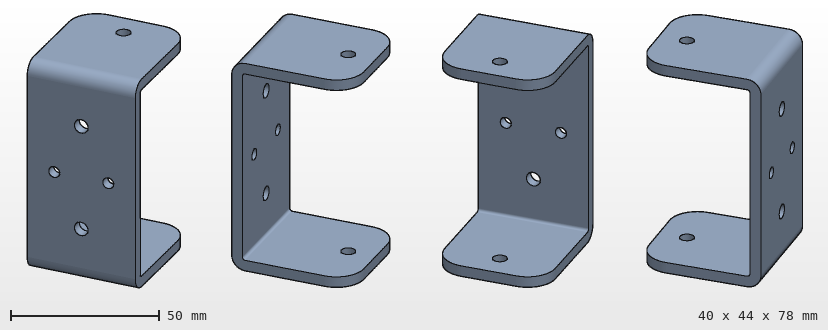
import cadquery as cq

width = 40.0
depth = 44.0
height = 78.0
thickness = 4.0

bend_outer_radius = 5.0
bend_inner_radius = bend_outer_radius - thickness
flange_corner_radius = 10.0

large_hole_diameter = 5.0
small_hole_diameter = 4.0
large_hole_offset = 19.3
small_hole_offset = 10.0
flange_hole_edge_distance = 10.0

flange_hole_y = depth - flange_hole_edge_distance


def bent_plate():
    """Web with two flanges, rounded inside and outside each bend."""
    outer = (
        cq.Workplane("XY")
        .box(width, depth, height)
        .translate((0, depth / 2, 0))
        .edges("|X and <Y")
        .fillet(bend_outer_radius)
    )
    inner = (
        cq.Workplane("XY")
        .box(width, depth, height - 2 * thickness)
        .translate((0, depth / 2 + thickness, 0))
        .edges("|X and <Y")
        .fillet(bend_inner_radius)
    )
    return outer.cut(inner)


def web_holes(points, diameter):
    """Cylinders along Y through the web at the given (X, Z) points."""
    return (
        cq.Workplane("XZ")
        .pushPoints(points)
        .circle(diameter / 2)
        .extrude(-thickness)
    )


def flange_holes():
    """One cylinder along Z through both flanges."""
    return (
        cq.Workplane("XY")
        .center(0, flange_hole_y)
        .circle(large_hole_diameter / 2)
        .extrude(height / 2, both=True)
    )


bracket = bent_plate().edges("|Z and >Y").fillet(flange_corner_radius)

large_points = [(0, -large_hole_offset), (0, large_hole_offset)]
small_points = [(-small_hole_offset, 0), (small_hole_offset, 0)]

result = (
    bracket
    .cut(web_holes(large_points, large_hole_diameter))
    .cut(web_holes(small_points, small_hole_diameter))
    .cut(flange_holes())
)